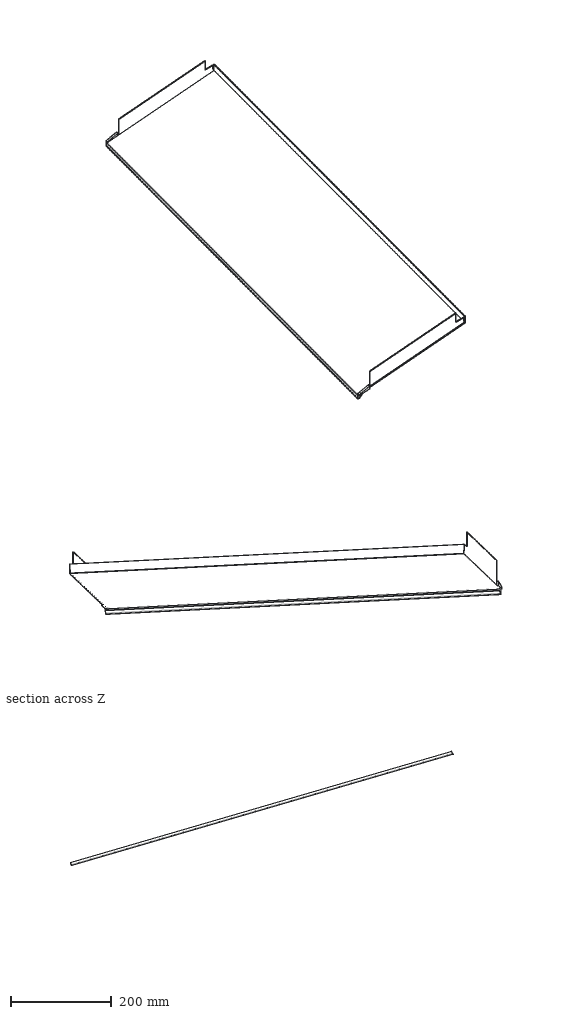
import cadquery as cq
import math

length = 818.0
depth = 272.0
height = 83.5
sheet = 1.8
floor_angle = 5.0
slope = math.tan(math.radians(floor_angle))

tab_overhang = 2.5
tab_thickness = sheet + tab_overhang
left_x = -length / 2 + tab_overhang
right_x = length / 2 - tab_overhang
front_y = -depth / 2
back_y = depth / 2

front_floor_z = 11.5
back_wall_top = 55.0

back_setback = 24.0
front_setback = 32.0
corner_slot_width = 2.5
corner_slot_floor_z = 42.5

lip_top = front_floor_z + sheet
hem_rise = 5.0
hem_bend_radius = 4.0
hem_start_angle = 180
hem_end_angle = 315
hem_mid_angle = (hem_start_angle + hem_end_angle) / 2
lip_bend_radius = 2.5

tab_length = 29.5
tab_back_z = 23.0
tab_front_z = 15.5
tab_front_gap = 2.5
tab_front_y = front_y + tab_front_gap


def floor_z(y):
    """Height of the underside of the sloping floor."""
    return front_floor_z + slope * (y - front_y)


def extrude_profile(points, x_start, x_end):
    """Closed outline in the YZ plane, extruded along X."""
    outline = cq.Workplane("YZ").workplane(offset=x_start).polyline(points).close()
    return outline.extrude(x_end - x_start)


def make_floor():
    """Flat sheet falling towards the front."""
    points = [
        (front_y, floor_z(front_y)),
        (back_y, floor_z(back_y)),
        (back_y, floor_z(back_y) + sheet),
        (front_y, floor_z(front_y) + sheet),
    ]
    return extrude_profile(points, left_x, right_x)


def make_back_wall():
    """Low upright wall along the back edge."""
    points = [
        (back_y - sheet, floor_z(back_y - sheet)),
        (back_y, floor_z(back_y)),
        (back_y, back_wall_top),
        (back_y - sheet, back_wall_top),
    ]
    return extrude_profile(points, left_x, right_x)


def make_side_wall(x_start):
    """Stepped wall with a narrow slot between it and the back wall."""
    wall_back_y = back_y - sheet - corner_slot_width
    tall_back_y = back_y - back_setback
    tall_front_y = front_y + front_setback
    tall_front_z = height - slope * (tall_back_y - tall_front_y)
    points = [
        (tall_front_y, floor_z(tall_front_y)),
        (back_y, floor_z(back_y)),
        (back_y, corner_slot_floor_z),
        (wall_back_y, corner_slot_floor_z),
        (wall_back_y, back_wall_top),
        (tall_back_y, back_wall_top),
        (tall_back_y, height),
        (tall_front_y, tall_front_z),
    ]
    return extrude_profile(points, x_start, x_start + sheet)


def make_front_lip():
    """Downturned lip whose lower edge bends round into a hem rising at 45 degrees."""
    bend_y = front_y + hem_bend_radius
    bend_z = hem_bend_radius
    inner_radius = hem_bend_radius - sheet

    def bend_point(radius, angle):
        turn = math.radians(angle)
        return (bend_y + radius * math.cos(turn), bend_z + radius * math.sin(turn))

    def hem_tip(radius):
        y, z = bend_point(radius, hem_end_angle)
        return (y + hem_rise, z + hem_rise)

    outline = (
        cq.Workplane("YZ")
        .workplane(offset=left_x)
        .moveTo(front_y, lip_top)
        .lineTo(front_y, bend_z)
        .threePointArc(
            bend_point(hem_bend_radius, hem_mid_angle),
            bend_point(hem_bend_radius, hem_end_angle),
        )
        .lineTo(*hem_tip(hem_bend_radius))
        .lineTo(*hem_tip(inner_radius))
        .lineTo(*bend_point(inner_radius, hem_end_angle))
        .threePointArc(
            bend_point(inner_radius, hem_mid_angle),
            bend_point(inner_radius, hem_start_angle),
        )
        .lineTo(front_y + sheet, lip_top)
        .close()
    )
    return outline.extrude(right_x - left_x)


def make_tab(x_start):
    """Small tapering tab between a side wall and the front lip."""
    tab_back_y = front_y + tab_length
    points = [
        (tab_front_y, floor_z(tab_front_y)),
        (tab_back_y, floor_z(tab_back_y)),
        (tab_back_y, tab_back_z),
        (tab_front_y, tab_front_z),
    ]
    return extrude_profile(points, x_start, x_start + tab_thickness)


tray = make_floor().union(make_back_wall()).union(make_front_lip())
lip_top_edge = cq.selectors.NearestToPointSelector((0, front_y, lip_top))
tray = tray.edges(lip_top_edge).fillet(lip_bend_radius)
for wall_x in (left_x, right_x - sheet):
    tray = tray.union(make_side_wall(wall_x))
for tab_x in (-length / 2, length / 2 - tab_thickness):
    tray = tray.union(make_tab(tab_x))

result = tray